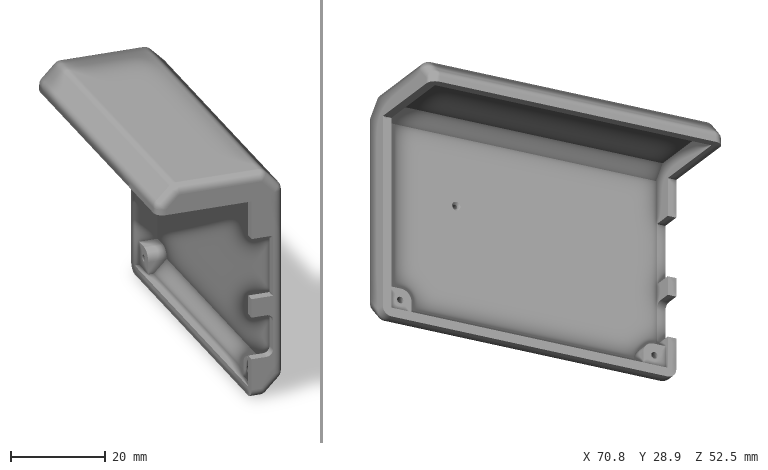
import cadquery as cq

length = 70.8
depth = 28.9
height = 52.5
wall = 2.05
edge_chamfer = 4.2
edge_radius = 2.05

back_depth = 7.3
top_depth = 6.4
rim_y = depth - back_depth
parting_z = height - top_depth

boss_width = 5.4
boss_radius = 2.5
boss_recess = 1.0
boss_hole_diameter = 1.5
boss_hole_depth = 3.55
boss_hole_offset = boss_width / 2

panel_hole_x = 20.55
panel_hole_z = 31.5
panel_hole_diameter = 1.0
countersink_diameter = 2.0
countersink_angle = 90

opening_depth = 4.9
lower_opening_bottom = 9.3
lower_opening_top = 19.0
lower_opening_radius = 1.5
upper_opening_bottom = 23.3
upper_opening_top = 37.3


def chamfered_bar(inset):
    """Full-length bar with four chamfered long edges, inset evenly from the outside."""
    chamfer = edge_chamfer - (2 - 2**0.5) * inset
    return (
        cq.Workplane("XY")
        .box(length - 2 * inset, depth - 2 * inset, height - 2 * inset, centered=False)
        .translate((inset, inset, inset))
        .edges("|X")
        .chamfer(chamfer)
    )


def block(x_range, y_range, z_range):
    """Box spanning the given (low, high) limits along each axis."""
    sizes = [high - low for low, high in (x_range, y_range, z_range)]
    return cq.Workplane("XY").box(*sizes, centered=False).translate((x_range[0], y_range[0], z_range[0]))


def shell():
    """Hollow rounded enclosure, cut away to its back and top panels."""
    outer = chamfered_bar(0).edges().fillet(edge_radius)
    removed = block((0, length), (0, rim_y), (0, parting_z))
    return outer.cut(chamfered_bar(wall)).cut(removed)


def boss(hole_x, rounded_side):
    """Corner boss joined to the chamfered floor, rounded at its free upper corner."""
    half_width = boss_width / 2
    pillar = block(
        (hole_x - half_width, hole_x + half_width),
        (rim_y + boss_recess, depth),
        (wall, wall + boss_width),
    )
    pillar = pillar.edges("|Y").edges(">Z").edges(rounded_side).fillet(boss_radius)
    return pillar.intersect(chamfered_bar(wall))


def hole_along_y(x, z, diameter, start_y, hole_length):
    """Cylinder running toward +Y from start_y."""
    axis = cq.Vector(0, 1, 0)
    return cq.Workplane(cq.Solid.makeCylinder(diameter / 2, hole_length, cq.Vector(x, start_y, z), axis))


def countersunk_hole():
    """Through hole with its countersink on the inner face of the back panel."""
    return (
        cq.Workplane("XZ", origin=(panel_hole_x, depth - wall, panel_hole_z))
        .circle(panel_hole_diameter / 2)
        .extrude(-wall)
        .union(
            cq.Workplane("XZ", origin=(panel_hole_x, depth - wall, panel_hole_z))
            .circle(countersink_diameter / 2)
            .extrude(-(countersink_diameter - panel_hole_diameter) / 2, taper=countersink_angle / 2)
        )
    )


def side_opening(bottom, top):
    """Notch in the +X wall, open toward the rim."""
    return block((length - wall, length), (rim_y, rim_y + opening_depth), (bottom, top))


result = shell()

boss_sides = (
    (wall + boss_width / 2, ">X"),
    (length - wall - boss_width / 2, "<X"),
)
for boss_x, rounded_side in boss_sides:
    result = result.union(boss(boss_x, rounded_side))
    result = result.cut(
        hole_along_y(
            boss_x, wall + boss_hole_offset, boss_hole_diameter, rim_y + boss_recess, boss_hole_depth
        )
    )

result = result.cut(countersunk_hole())

lower_opening = side_opening(lower_opening_bottom, lower_opening_top)
result = result.cut(lower_opening.edges("|X").edges(">Y").fillet(lower_opening_radius))
result = result.cut(side_opening(upper_opening_bottom, upper_opening_top))